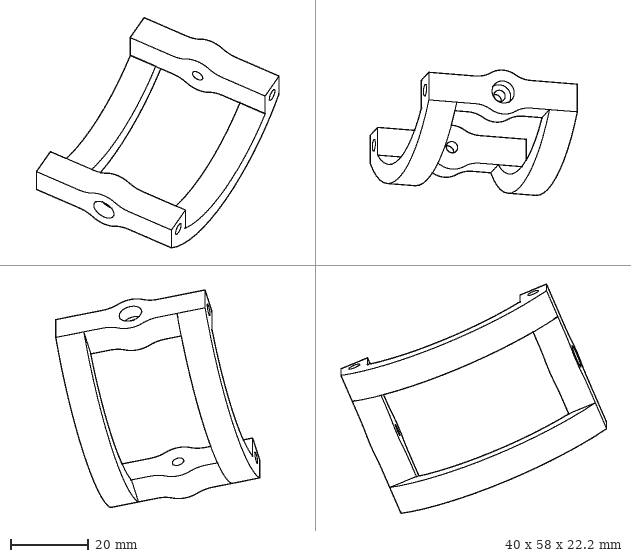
import cadquery as cq
import math

frame_length = 58.0
frame_width = 40.0
bar_size = 7.55

boss_radius = 6.0
blend_radius = 7.5
bore_diameter = 3.0
counterbore_diameter = 6.0
counterbore_depth = 3.5

end_hole_diameter = 3.0
end_hole_depth = 10.0

strap_outer_radius = 40.1
strap_thickness = 5.0

half_length = frame_length / 2
half_width = frame_width / 2
half_bar = bar_size / 2
bar_inner_y = half_length - bar_size
bar_center_y = half_length - half_bar
strap_inner_radius = strap_outer_radius - strap_thickness
strap_center_z = math.sqrt(strap_outer_radius**2 - half_length**2) - half_bar


def bar_blank():
    """Front bar with a boss blended into its top and bottom faces."""
    center_distance = boss_radius + blend_radius
    blend_z = half_bar + blend_radius
    blend_x = math.sqrt(center_distance**2 - blend_z**2)
    joint_x = blend_x * boss_radius / center_distance
    joint_z = blend_z * boss_radius / center_distance
    mid_angle = (math.pi / 2 + math.atan2(blend_z, blend_x)) / 2
    mid_x = blend_x - blend_radius * math.cos(mid_angle)
    mid_z = blend_z - blend_radius * math.sin(mid_angle)
    return (
        cq.Workplane("XZ", origin=(0, -bar_inner_y, 0))
        .moveTo(-half_width, half_bar)
        .lineTo(-blend_x, half_bar)
        .threePointArc((-mid_x, mid_z), (-joint_x, joint_z))
        .threePointArc((0, boss_radius), (joint_x, joint_z))
        .threePointArc((mid_x, mid_z), (blend_x, half_bar))
        .lineTo(half_width, half_bar)
        .lineTo(half_width, -half_bar)
        .lineTo(blend_x, -half_bar)
        .threePointArc((mid_x, -mid_z), (joint_x, -joint_z))
        .threePointArc((0, -boss_radius), (-joint_x, -joint_z))
        .threePointArc((-mid_x, -mid_z), (-blend_x, -half_bar))
        .lineTo(-half_width, -half_bar)
        .close()
        .extrude(bar_size)
    )


def cylinder(start, direction, diameter, depth):
    """Round cutter running from a start point along a direction."""
    return cq.Workplane(
        cq.Solid.makeCylinder(diameter / 2, depth, cq.Vector(*start), cq.Vector(*direction))
    )


def drilled_bar():
    """Front bar with its counterbored boss and blind end holes."""
    outer_face = (0, -half_length, 0)
    bar = bar_blank()
    bar = bar.cut(cylinder(outer_face, (0, 1, 0), bore_diameter, bar_size))
    bar = bar.cut(cylinder(outer_face, (0, 1, 0), counterbore_diameter, counterbore_depth))
    for side in (-1, 1):
        end_center = (side * half_width, -bar_center_y, 0)
        bar = bar.cut(cylinder(end_center, (-side, 0, 0), end_hole_diameter, end_hole_depth))
    return bar


def strap(start_x):
    """Curved strap hanging below the bars, starting at the given X."""
    ring = (
        cq.Workplane("YZ", origin=(start_x, 0, strap_center_z))
        .circle(strap_outer_radius)
        .circle(strap_inner_radius)
        .extrude(bar_size)
    )
    below_bars = cq.Workplane("XY", origin=(0, 0, -half_bar)).rect(
        2 * frame_width, frame_length
    ).extrude(-strap_outer_radius)
    return ring.intersect(below_bars)


front_bar = drilled_bar()
result = front_bar.union(front_bar.mirror("XZ"))
for strap_start in (-half_width, half_width - bar_size):
    result = result.union(strap(strap_start))